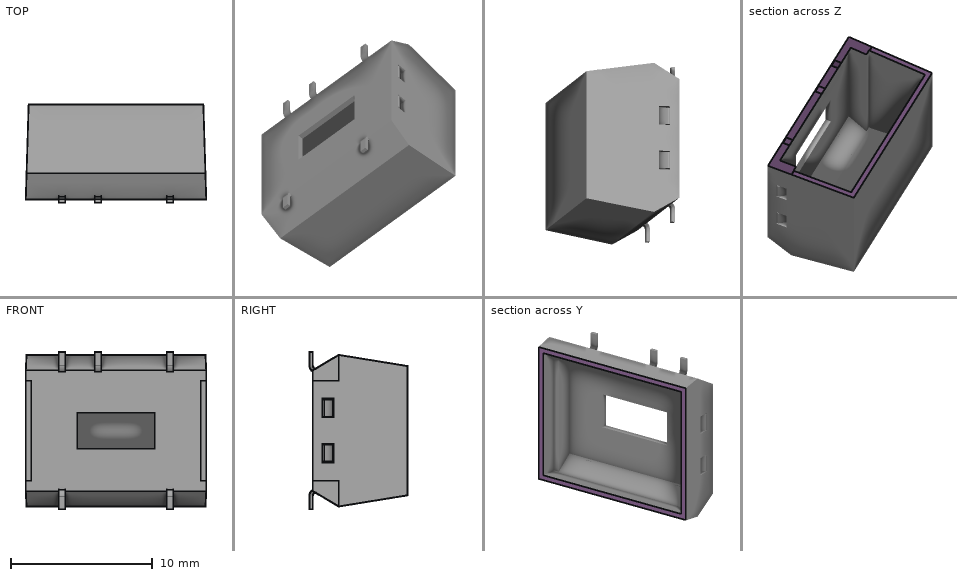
import cadquery as cq
import math

front_half_width = 6.38
side_taper = 0.2
body_depth = 6.71
front_half_height = 4.26
widest_half_height = 5.35
back_half_height = 4.56
split_depth = 1.84
wall = 0.41

tongue_half_height = 3.52
window_offset = 1.61
window_height = 1.34
window_front = 0.69
window_length = 0.79

latch_offset = 1.58
latch_height = 1.17
latch_clearance = 0.05
latch_rise = 0.41
latch_nose_length = 0.14
latch_nose_radius = 0.3

opening_width = 5.48
opening_height = 2.55

pin_width = 0.47
pin_thickness = 0.25
pin_protrusion = 0.24
pin_tip_span = 11.1
pin_tip_height = pin_tip_span / 2
foot_length = 0.93
bend_inner_radius = 0.28
pin_tail_length = 0.25
pin_pitch = 2.54
upper_pin_slots = (-1.5, -0.5, 1.5)
lower_pin_slots = (-1.5, 1.5)

oversize = 2 * front_half_width


def side_x(depth, inset=0.0):
    """Half width of the tapered envelope at a depth, less an inset."""
    return front_half_width - side_taper * depth / body_depth - inset


def plan_prism(side_inset):
    """Tapered plan outline, narrowed by side_inset on each side, as a tall prism."""
    front_x = side_x(0, side_inset)
    back_x = side_x(body_depth, side_inset)
    return (
        cq.Workplane("XY")
        .polyline([(-front_x, 0), (front_x, 0), (back_x, body_depth), (-back_x, body_depth)])
        .close()
        .extrude(oversize / 2, both=True)
    )


def profile_prism(inset):
    """Six-sided side profile, moved inward by inset, as a long prism along X."""
    profile = (
        cq.Workplane("YZ")
        .polyline([
            (0, -front_half_height),
            (split_depth, -widest_half_height),
            (body_depth, -back_half_height),
            (body_depth, back_half_height),
            (split_depth, widest_half_height),
            (0, front_half_height),
        ])
        .close()
    )
    if inset:
        profile = profile.offset2D(-inset)
    return profile.extrude(oversize, both=True)


def front_block(height):
    """Block in front of the split plane, centred on the middle plane."""
    return cq.Workplane("XY").box(oversize + wall, split_depth, height, centered=(True, False, True))


def make_tongues(envelope):
    """The two side strips of the cover that run forward to the mounting face."""
    return envelope.intersect(front_block(2 * tongue_half_height)).cut(plan_prism(wall))


def make_cover(envelope, tongues):
    """Hollow back cover with its two tongues and their latch windows."""
    cavity = profile_prism(wall).intersect(plan_prism(wall))
    windows = (
        cq.Workplane("XY")
        .pushPoints([(0, window_front + window_length / 2)])
        .box(oversize + wall, window_length, window_height)
    )
    cover = envelope.cut(front_block(oversize)).cut(cavity).union(tongues)
    for z in (-window_offset, window_offset):
        cover = cover.cut(windows.translate((0, 0, z)))
    return cover


def make_latch():
    """One latch on the +X side: a long ramp at the back, a sharp crest and a rounded nose."""
    ramp_foot = window_front + window_length - latch_clearance
    crest = window_front + latch_nose_length
    crest_x = side_x(crest, wall) + latch_rise
    nose_drop = latch_nose_radius - math.sqrt(latch_nose_radius**2 - latch_nose_length**2)
    root_x = side_x(0, 1.5 * wall)
    return (
        cq.Workplane("XY")
        .moveTo(root_x, window_front)
        .lineTo(crest_x - nose_drop, window_front)
        .radiusArc((crest_x, crest), -latch_nose_radius)
        .lineTo(side_x(ramp_foot, wall), ramp_foot)
        .lineTo(root_x, ramp_foot)
        .close()
        .extrude(latch_height / 2, both=True)
    )


def make_base(envelope, tongues, pins):
    """Front tray with its opening, pin slots and side latches."""
    cavity = profile_prism(wall).intersect(plan_prism(2 * wall))
    opening = cq.Workplane("XY").box(opening_width, 2 * wall, opening_height)
    base = envelope.intersect(front_block(oversize)).cut(tongues).cut(cavity).cut(opening)
    for z in (-latch_offset, latch_offset):
        latch = make_latch().translate((0, 0, z))
        base = base.union(latch).union(latch.mirror("YZ"))
    for pin in pins:
        base = base.cut(pin)
    return base


def make_pin(x):
    """Upper pin: a flat foot that bends a quarter turn back into the base."""
    bend_z = pin_tip_height - foot_length
    bend_outer_radius = bend_inner_radius + pin_thickness
    tail_end = bend_inner_radius + pin_tail_length
    return (
        cq.Workplane("YZ")
        .moveTo(0, pin_tip_height)
        .lineTo(-pin_thickness, pin_tip_height)
        .lineTo(-pin_thickness, bend_z)
        .radiusArc((bend_inner_radius, bend_z - bend_outer_radius), -bend_outer_radius)
        .lineTo(tail_end, bend_z - bend_outer_radius)
        .lineTo(tail_end, bend_z - bend_inner_radius)
        .lineTo(bend_inner_radius, bend_z - bend_inner_radius)
        .radiusArc((0, bend_z), bend_inner_radius)
        .close()
        .extrude(pin_width / 2, both=True)
        .translate((x, pin_thickness - pin_protrusion, 0))
    )


outer_envelope = profile_prism(0).intersect(plan_prism(0))
cover_tongues = make_tongues(outer_envelope)

terminal_pins = [make_pin(slot * pin_pitch) for slot in upper_pin_slots]
terminal_pins += [make_pin(slot * pin_pitch).mirror("XY") for slot in lower_pin_slots]

cover = make_cover(outer_envelope, cover_tongues)
base = make_base(outer_envelope, cover_tongues, terminal_pins)

result = cq.Compound.makeCompound([cover.val(), base.val(), *[pin.val() for pin in terminal_pins]])